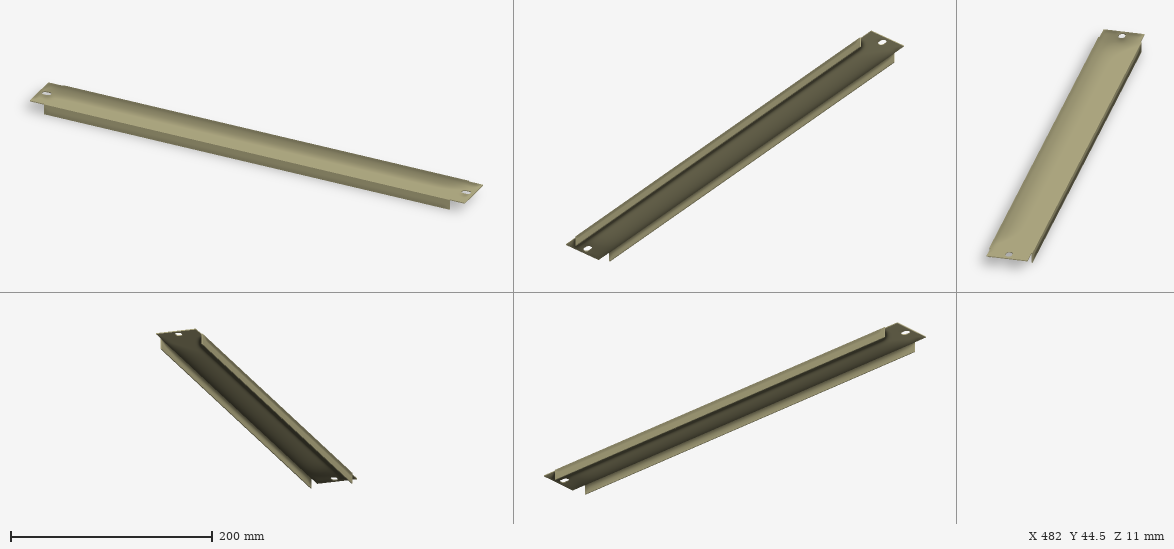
import cadquery as cq

length = 482.0
width = 44.5
height = 11.0
sheet = 1.0

tab_length = 16.5
tab_width = 42.0

slot_length = 10.0
slot_width = 6.7
slot_spacing = 465.0

body_length = length - 2 * tab_length


def folded_channel():
    """Channel open at the bottom, with a flange along each long side."""
    outer = cq.Workplane("XY").box(body_length, width, height, centered=(True, True, False))
    inside = cq.Workplane("XY").box(
        body_length, width - 2 * sheet, height - sheet, centered=(True, True, False)
    )
    return outer.cut(inside)


def face_plate():
    """Full-length flat sheet whose ends form the narrower mounting tabs."""
    return (
        cq.Workplane("XY")
        .workplane(offset=height - sheet)
        .box(length, tab_width, sheet, centered=(True, True, False))
    )


def mounting_slots():
    """Cutters for the round-ended slot in each tab."""
    return (
        cq.Workplane("XY")
        .pushPoints([(-slot_spacing / 2, 0), (slot_spacing / 2, 0)])
        .slot2D(slot_length, slot_width)
        .extrude(height)
    )


result = folded_channel().union(face_plate()).cut(mounting_slots())